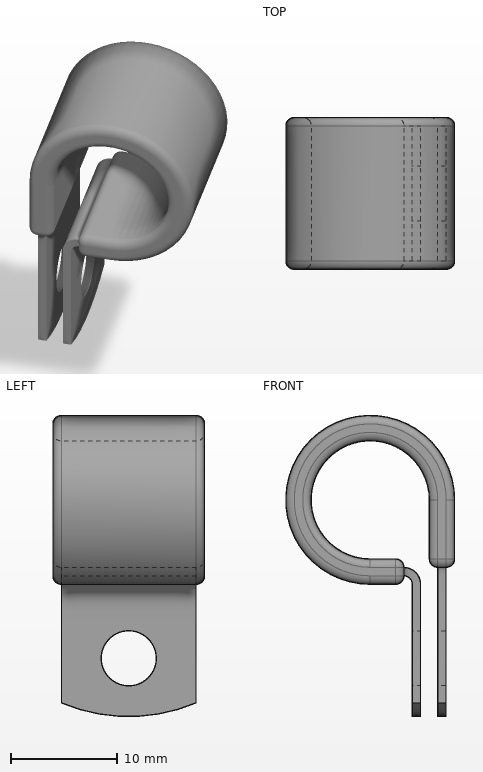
import cadquery as cq
import math

SHEET = 0.8
COVER = 0.8
BORE_RADIUS = 5.55
CUSHION_WIDTH = 14.29
END_LENGTH = 3.18
TAB_GAP = 1.6
BEND_INNER_RADIUS = 0.8
TAB_BOTTOM_Z = -20.39
TAB_CORNER_Z = -19.1
HOLE_DIAMETER = 5.16
HOLE_Z = -14.9

STRAP_INNER_RADIUS = BORE_RADIUS + COVER
STRAP_OUTER_RADIUS = STRAP_INNER_RADIUS + SHEET
CUSHION_OUTER_RADIUS = STRAP_OUTER_RADIUS + COVER
STRAP_WIDTH = CUSHION_WIDTH - 2 * COVER
CUSHION_END_Z = -STRAP_INNER_RADIUS
NEAR_TAB_OUTER_X = STRAP_INNER_RADIUS - TAB_GAP
NEAR_TAB_INNER_X = NEAR_TAB_OUTER_X - SHEET
BEND_OUTER_RADIUS = BEND_INNER_RADIUS + SHEET
BEND_X = NEAR_TAB_OUTER_X - BEND_OUTER_RADIUS
BEND_Z = -STRAP_INNER_RADIUS - BEND_OUTER_RADIUS
DIAGONAL = math.sqrt(0.5)


def extrude_centred(profile, width):
    """Extrude an XZ profile by the given width, centred on Y = 0."""
    return profile.extrude(width / 2, both=True)


def make_cushion():
    """Three-quarter loop with two straight ends, rounded on every outer edge."""
    outer = CUSHION_OUTER_RADIUS
    inner = BORE_RADIUS
    profile = (
        cq.Workplane("XZ")
        .moveTo(outer, CUSHION_END_Z)
        .lineTo(outer, 0)
        .threePointArc((-outer * DIAGONAL, outer * DIAGONAL), (0, -outer))
        .lineTo(END_LENGTH, -outer)
        .lineTo(END_LENGTH, -inner)
        .lineTo(0, -inner)
        .threePointArc((-inner * DIAGONAL, inner * DIAGONAL), (inner, 0))
        .lineTo(inner, CUSHION_END_Z)
        .close()
    )
    body = extrude_centred(profile, CUSHION_WIDTH)
    half_width = CUSHION_WIDTH / 2
    far_end = cq.selectors.BoxSelector(
        (0, -half_width, CUSHION_END_Z - COVER / 2),
        (outer + COVER, half_width, CUSHION_END_Z + COVER / 2),
    )
    near_end = cq.selectors.BoxSelector(
        (END_LENGTH - COVER / 2, -half_width, -outer - COVER),
        (END_LENGTH + COVER / 2, half_width, 0),
    )
    end_edges = body.edges("|Y").edges(far_end + near_end).vals()
    side_edges = body.faces("<Y or >Y").edges().vals()
    return body.newObject(end_edges + side_edges).fillet(COVER)


def make_strap():
    """Sheet strip following the loop, with both ends running down as tabs."""
    outer = STRAP_OUTER_RADIUS
    inner = STRAP_INNER_RADIUS
    outer_bend_mid = (BEND_X + BEND_OUTER_RADIUS * DIAGONAL, BEND_Z + BEND_OUTER_RADIUS * DIAGONAL)
    inner_bend_mid = (BEND_X + BEND_INNER_RADIUS * DIAGONAL, BEND_Z + BEND_INNER_RADIUS * DIAGONAL)
    profile = (
        cq.Workplane("XZ")
        .moveTo(outer, TAB_BOTTOM_Z)
        .lineTo(outer, 0)
        .threePointArc((-outer * DIAGONAL, outer * DIAGONAL), (0, -outer))
        .lineTo(BEND_X, -outer)
        .threePointArc(inner_bend_mid, (NEAR_TAB_INNER_X, BEND_Z))
        .lineTo(NEAR_TAB_INNER_X, TAB_BOTTOM_Z)
        .lineTo(NEAR_TAB_OUTER_X, TAB_BOTTOM_Z)
        .lineTo(NEAR_TAB_OUTER_X, BEND_Z)
        .threePointArc(outer_bend_mid, (BEND_X, -inner))
        .lineTo(0, -inner)
        .threePointArc((-inner * DIAGONAL, inner * DIAGONAL), (inner, 0))
        .lineTo(inner, TAB_BOTTOM_Z)
        .close()
    )
    return extrude_centred(profile, STRAP_WIDTH)


def make_tab_outline():
    """Block along X that keeps the strap width and rounds the tab bottoms."""
    half_width = STRAP_WIDTH / 2
    return (
        cq.Workplane("YZ")
        .moveTo(-half_width, TAB_CORNER_Z)
        .threePointArc((0, TAB_BOTTOM_Z), (half_width, TAB_CORNER_Z))
        .lineTo(half_width, CUSHION_OUTER_RADIUS)
        .lineTo(-half_width, CUSHION_OUTER_RADIUS)
        .close()
        .extrude(CUSHION_OUTER_RADIUS, both=True)
    )


def make_bolt_hole():
    """Cylinder along X that passes through both tabs."""
    return (
        cq.Workplane("YZ")
        .center(0, HOLE_Z)
        .circle(HOLE_DIAMETER / 2)
        .extrude(CUSHION_OUTER_RADIUS)
    )


strap = make_strap().intersect(make_tab_outline()).cut(make_bolt_hole())
result = make_cushion().union(strap)